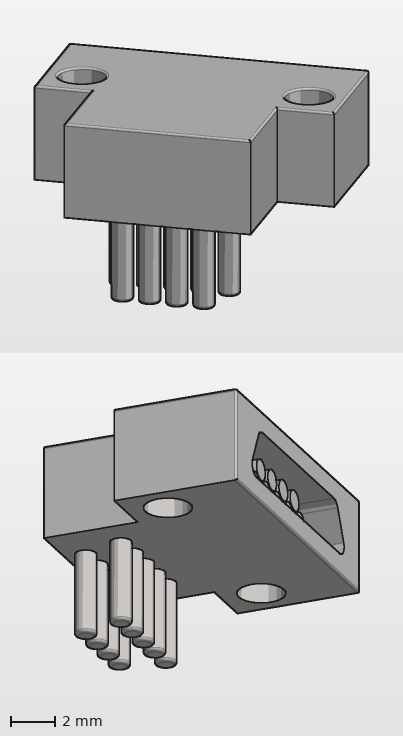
import math

import cadquery as cq

body_width = 14.0
body_length = 10.6
body_height = 4.5
rear_y = 4.1
front_y = rear_y - body_length
stem_width = 8.7
stem_length = 4.6
shoulder_y = front_y + stem_length
edge_radius = 0.1

mount_diameter = 2.2
mount_spacing = 10.6

cavity_bottom_width = 11.0
cavity_side_angle = 25.0
cavity_height = 2.45
cavity_depth = 4.6
cavity_corner_radius = 0.5
cavity_z = body_height / 2
cavity_floor_y = rear_y - cavity_depth
cavity_top_width = cavity_bottom_width - 2 * cavity_height * math.tan(math.radians(cavity_side_angle))

pin_diameter = 1.0
pin_pitch = 1.27
tail_length = 4.0
tail_tip_radius = 0.15
contact_recess = 1.0
contact_row_spacing = 0.84
contact_length = cavity_depth - contact_recess
front_tail_y = front_y + 1.0
rear_tail_y = front_tail_y + 2.0
front_row_count = 4
rear_row_count = 5


def make_housing():
    """T-shaped block with its top edges and its rear edges rounded."""
    bar_length = rear_y - shoulder_y
    bar = cq.Workplane("XY").box(body_width, bar_length, body_height, centered=(True, False, False))
    bar = bar.translate((0, shoulder_y, 0))
    stem = cq.Workplane("XY").box(stem_width, body_length, body_height, centered=(True, False, False))
    stem = stem.translate((0, front_y, 0))
    return bar.union(stem).faces(">Z or >Y").edges().fillet(edge_radius)


def cut_cavity(part):
    """D-shaped recess with rounded corners that runs forward from the rear face."""
    profile = [
        (-cavity_bottom_width / 2, -cavity_height / 2),
        (cavity_bottom_width / 2, -cavity_height / 2),
        (cavity_top_width / 2, cavity_height / 2),
        (-cavity_top_width / 2, cavity_height / 2),
    ]
    cavity = (
        cq.Workplane("XZ", origin=(0, cavity_floor_y, cavity_z))
        .polyline(profile)
        .close()
        .extrude(-cavity_depth)
        .edges("|Y")
        .fillet(cavity_corner_radius)
    )
    return part.cut(cavity)


def cut_mounting_holes(part):
    """Two vertical through holes with a rounded upper rim."""
    top = cq.Workplane("XY").workplane(offset=body_height)
    centers = [(-mount_spacing / 2, 0), (mount_spacing / 2, 0)]
    holes = top.pushPoints(centers).circle(mount_diameter / 2).extrude(-body_height)
    part = part.cut(holes)
    for center_x, center_y in centers:
        rim_center = (center_x, center_y, body_height)
        rim = part.edges(cq.selectors.NearestToPointSelector(rim_center))
        part = rim.fillet(edge_radius)
    return part


def row_positions(count):
    """X positions of a row of pins centred on X = 0."""
    return [(i - (count - 1) / 2) * pin_pitch for i in range(count)]


def make_pin_row(count, tail_y, contact_z):
    """One row of vertical solder tails and the horizontal contacts above them."""
    positions = row_positions(count)
    tails = (
        cq.Workplane("XY", origin=(0, tail_y, 0))
        .pushPoints([(x, 0) for x in positions])
        .circle(pin_diameter / 2)
        .extrude(-tail_length)
        .faces("<Z")
        .edges()
        .fillet(tail_tip_radius)
    )
    contacts = (
        cq.Workplane("XZ", origin=(0, cavity_floor_y, contact_z))
        .pushPoints([(x, 0) for x in positions])
        .circle(pin_diameter / 2)
        .extrude(-contact_length)
    )
    return tails, contacts


result = cut_mounting_holes(cut_cavity(make_housing()))
pin_rows = [
    (front_row_count, front_tail_y, cavity_z + contact_row_spacing / 2),
    (rear_row_count, rear_tail_y, cavity_z - contact_row_spacing / 2),
]
for row_count, row_tail_y, row_contact_z in pin_rows:
    row_tails, row_contacts = make_pin_row(row_count, row_tail_y, row_contact_z)
    result = result.union(row_tails).union(row_contacts)